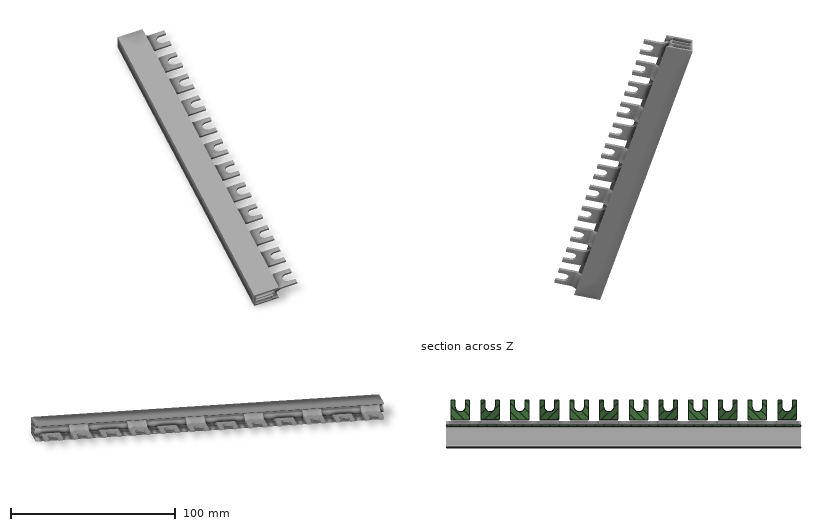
import cadquery as cq
import math


bar_thickness = 1.5
bar_z = 2.75
bar_bottom = bar_z - bar_thickness / 2
bar_top = bar_z + bar_thickness / 2
bar_back = 1.1
bar_setback = 2.0

length = 215.0
housing_depth = 16.3
half_height = 5.1
back_wall = 0.8
channel_fillet = 1.3
arm_root_z = 3.7
arm_end_z = 4.2
lip_back = 12.1
lip_front = 13.95
arm_tip_z = 4.55
tongue_half = 1.5
nose_radius = bar_bottom
tongue_tip = lip_back + nose_radius
slot_half = 0.95
slot_back = 0.9
slot_front = 12.9

overall_depth = 29.43
fork_count = 12
fork_pitch = 18.0
first_fork_x = (length - (fork_count - 1) * fork_pitch) / 2
fork_width = 11.55
fork_flat = 10.1
notch_width = 6.0
notch_depth = 7.2
bend_angle = math.radians(30)
inner_bend = 2.0
outer_bend = inner_bend + bar_thickness

half_thickness = bar_thickness / 2
mid_bend = inner_bend + half_thickness
sin_bend = math.sin(bend_angle)
cos_bend = math.cos(bend_angle)
slant_run = (bar_z - 2 * mid_bend * (1 - cos_bend)) / math.tan(bend_angle)
bend_start = overall_depth - fork_flat
bend_end = bend_start - 2 * mid_bend * sin_bend - slant_run


def build_housing():
    """Channel profile mirrored about the mid-plane, with a slot through its middle tongue."""
    upper_half = (
        cq.Workplane("YZ")
        .moveTo(0, 0)
        .lineTo(0, half_height)
        .lineTo(housing_depth, half_height)
        .lineTo(housing_depth, arm_tip_z)
        .lineTo(lip_front, bar_top)
        .lineTo(lip_back, bar_top)
        .lineTo(lip_back, arm_end_z)
        .lineTo(back_wall, arm_root_z)
        .lineTo(back_wall, tongue_half + channel_fillet)
        .radiusArc((back_wall + channel_fillet, tongue_half), -channel_fillet)
        .lineTo(lip_back, tongue_half)
        .lineTo(lip_back, nose_radius)
        .radiusArc((tongue_tip, 0), nose_radius)
        .close()
        .extrude(length)
    )
    slot = (
        cq.Workplane("YZ")
        .center((slot_back + slot_front) / 2, 0)
        .slot2D(slot_front - slot_back, 2 * slot_half)
        .extrude(length)
    )
    return upper_half.union(upper_half.mirror("XY")).cut(slot).clean()


def build_fork():
    """One fork centred on X = 0, with its S-bend and its share of the flat bar."""
    low_centre = half_thickness + inner_bend
    high_centre = bar_z - half_thickness - inner_bend
    inner_low = (bend_start - inner_bend * sin_bend, low_centre - inner_bend * cos_bend)
    outer_low = (bend_start - outer_bend * sin_bend, low_centre - outer_bend * cos_bend)
    inner_high = (bend_end + inner_bend * sin_bend, high_centre + inner_bend * cos_bend)
    outer_high = (bend_end + outer_bend * sin_bend, high_centre + outer_bend * cos_bend)
    strip = (
        cq.Workplane("YZ")
        .moveTo(overall_depth, -half_thickness)
        .lineTo(overall_depth, half_thickness)
        .lineTo(bend_start, half_thickness)
        .radiusArc(inner_low, inner_bend)
        .lineTo(*outer_high)
        .radiusArc((bend_end, bar_top), -outer_bend)
        .lineTo(bar_back, bar_top)
        .lineTo(bar_back, bar_bottom)
        .lineTo(bend_end, bar_bottom)
        .radiusArc(inner_high, inner_bend)
        .lineTo(*outer_low)
        .radiusArc((bend_start, -half_thickness), -outer_bend)
        .close()
        .extrude(fork_width / 2, both=True)
    )
    notch = (
        cq.Workplane("XY")
        .center(0, overall_depth)
        .slot2D(2 * notch_depth, notch_width, 90)
        .extrude(bar_thickness, both=True)
    )
    return strip.cut(notch)


def build_bar(first_fork):
    """Upper comb bar carrying every second fork, counted from first_fork."""
    bar = (
        cq.Workplane("XY")
        .box(length - 2 * bar_setback, bend_end - bar_back, bar_thickness, centered=(False, False, True))
        .translate((bar_setback, bar_back, bar_z))
    )
    fork = build_fork()
    for position in range(first_fork, fork_count, 2):
        bar = bar.union(fork.translate((first_fork_x + position * fork_pitch, 0, 0)))
    return bar.clean()


housing = build_housing()
upper_bar = build_bar(0)
lower_bar = build_bar(1).mirror("XY")

result = cq.Compound.makeCompound([housing.val(), upper_bar.val(), lower_bar.val()])